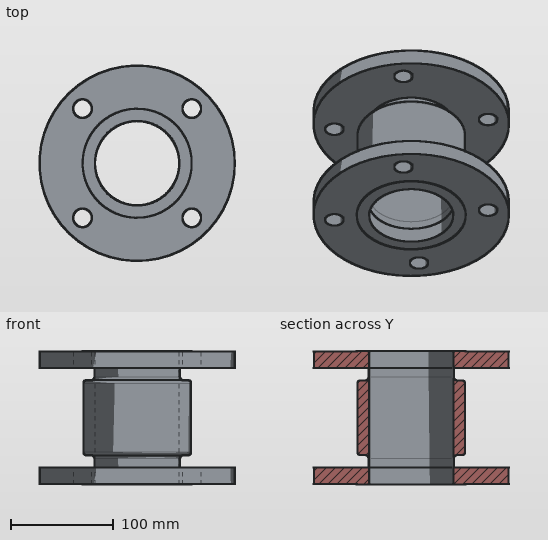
import cadquery as cq

flange_diameter = 190.0
total_height = 130.0

flange_thickness = 16.2
face_diameter = 106.0
face_height = 0.5

bolt_count = 4
bolt_circle_diameter = 150.1
bolt_hole_diameter = 17.9
first_bolt_angle = 45.0

body_diameter = 104.9
body_length = 73.0
neck_diameter = 83.5
bore_diameter = 81.7
blend_radius = 3.0

top = total_height / 2
flange_outer = top - face_height
flange_inner = flange_outer - flange_thickness
body_end = body_length / 2


def cylinder(diameter, z_start, z_end):
    """Upright cylinder on the Z axis between two heights."""
    return cq.Workplane("XY").workplane(offset=z_start).circle(diameter / 2).extrude(z_end - z_start)


def make_core():
    """Body between two necks, with rounded body edges and filleted neck roots."""
    neck_radius = neck_diameter / 2
    body_radius = body_diameter / 2
    root_z = body_end + blend_radius
    shoulder_z = body_end - blend_radius
    profile = (
        cq.Workplane("XZ")
        .moveTo(0, -flange_inner)
        .lineTo(neck_radius, -flange_inner)
        .lineTo(neck_radius, -root_z)
        .radiusArc((neck_radius + blend_radius, -body_end), blend_radius)
        .lineTo(body_radius - blend_radius, -body_end)
        .radiusArc((body_radius, -shoulder_z), -blend_radius)
        .lineTo(body_radius, shoulder_z)
        .radiusArc((body_radius - blend_radius, body_end), -blend_radius)
        .lineTo(neck_radius + blend_radius, body_end)
        .radiusArc((neck_radius, root_z), blend_radius)
        .lineTo(neck_radius, flange_inner)
        .lineTo(0, flange_inner)
        .close()
    )
    return profile.revolve(360, (0, 0, 0), (0, 1, 0))


def make_top_flange():
    """Upper flange disc with its raised face and bolt holes."""
    disc = cylinder(flange_diameter, flange_inner, flange_outer)
    raised_face = cylinder(face_diameter, flange_outer, top)
    bolt_holes = (
        cq.Workplane("XY")
        .workplane(offset=flange_inner)
        .polarArray(bolt_circle_diameter / 2, first_bolt_angle, 360, bolt_count)
        .circle(bolt_hole_diameter / 2)
        .extrude(flange_thickness)
    )
    return disc.union(raised_face).cut(bolt_holes)


top_flange = make_top_flange()
bottom_flange = top_flange.mirror("XY")
bore = cylinder(bore_diameter, -top, top)

result = make_core().union(top_flange).union(bottom_flange).cut(bore)